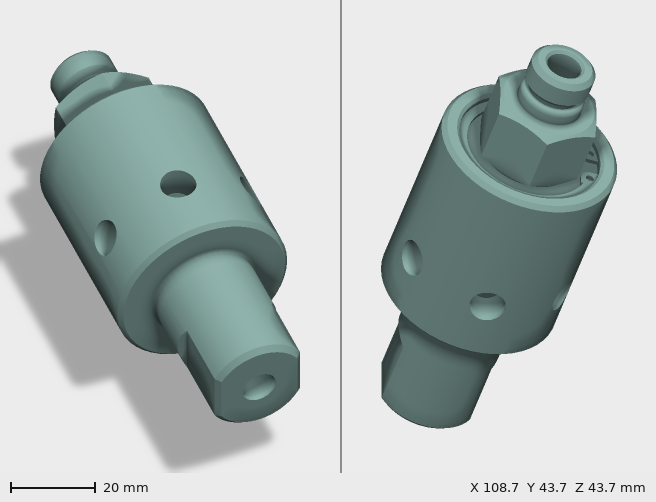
import cadquery as cq
import math

OVERALL_LENGTH = 108.7

HOUSING_START = 26.5
HOUSING_END = 75.3
HOUSING_DIAMETER = 43.7
HOUSING_CHAMFER = 1.1

SHAFT_DIAMETER = 25.4
SHAFT_CHAMFER = 1.3
SHAFT_FILLET = 0.9
FLAT_HALF_WIDTH = 11.0
FLAT_START = 90.9

HOLE_COUNT = 6
HOLE_DIAMETER = 8.6
HOLE_X = 59.8
FIRST_HOLE_ANGLE = 0.0

BORE_DIAMETER = 35.1
MOUTH_DIAMETER = 36.6
MOUTH_CHAMFER = (MOUTH_DIAMETER - BORE_DIAMETER) / 2

RING_FACE_DEPTH = 2.0
RING_THICKNESS = 1.0
RING_INNER_RADIUS = 15.2
LUG_RADIUS = 2.2
LUG_CENTRE_Y = 15.3
LUG_CENTRE_Z = 4.5
LUG_HOLE_DIAMETER = 2.0

THROUGH_BORE_DIAMETER = 8.5
THROUGH_BORE_CHAMFER = 0.7
NIPPLE_DIAMETER = 15.9
NIPPLE_CHAMFER = 1.2
NECK_DIAMETER = 12.8
NECK_TAPER_START = 6.0
NECK_END = 8.6
COLLAR_ROUND = 1.4
HEX_START = 12.5
NIPPLE_ROOT_FILLET = 0.3
HEX_END = 28.9
HEX_ACROSS_FLATS = 23.9
HEX_FACE_DIAMETER = 22.6
HEX_CHAMFER_ANGLE = 30.0
FLANGE_LENGTH = 8.7
JOURNAL_DIAMETER = 27.6
JOURNAL_END = 67.4

RING_FACE_X = HOUSING_START + RING_FACE_DEPTH
FLANGE_START = RING_FACE_X + RING_THICKNESS
FLANGE_END = FLANGE_START + FLANGE_LENGTH


def cylinder_x(diameter, start, end):
    """Solid cylinder along the X axis between two stations."""
    return cq.Workplane("YZ", origin=(start, 0, 0)).circle(diameter / 2).extrude(end - start)


def revolve_about_x(profile):
    """Turn a closed (x, radius) profile about the X axis."""
    return profile.close().revolve(360, (0, 0, 0), (1, 0, 0))


def through_bore():
    return cylinder_x(THROUGH_BORE_DIAMETER, 0, OVERALL_LENGTH)


def housing_blank():
    """Barrel and shaft, turned in one piece with a fillet in the corner between them."""
    barrel_radius = HOUSING_DIAMETER / 2
    shaft_radius = SHAFT_DIAMETER / 2
    fillet_middle = SHAFT_FILLET * (1 - math.sqrt(0.5))
    return revolve_about_x(
        cq.Workplane("XY")
        .moveTo(HOUSING_START, 0)
        .lineTo(HOUSING_START, barrel_radius - HOUSING_CHAMFER)
        .lineTo(HOUSING_START + HOUSING_CHAMFER, barrel_radius)
        .lineTo(HOUSING_END - HOUSING_CHAMFER, barrel_radius)
        .lineTo(HOUSING_END, barrel_radius - HOUSING_CHAMFER)
        .lineTo(HOUSING_END, shaft_radius + SHAFT_FILLET)
        .threePointArc(
            (HOUSING_END + fillet_middle, shaft_radius + fillet_middle),
            (HOUSING_END + SHAFT_FILLET, shaft_radius),
        )
        .lineTo(OVERALL_LENGTH, shaft_radius)
        .lineTo(OVERALL_LENGTH, 0)
    )


def rotor_cavity():
    """Chamfered mouth, flange bore and journal bore."""
    mouth_radius = MOUTH_DIAMETER / 2
    bore_radius = BORE_DIAMETER / 2
    journal_radius = JOURNAL_DIAMETER / 2
    return revolve_about_x(
        cq.Workplane("XY")
        .moveTo(HOUSING_START, 0)
        .lineTo(HOUSING_START, mouth_radius)
        .lineTo(HOUSING_START + MOUTH_CHAMFER, bore_radius)
        .lineTo(FLANGE_END, bore_radius)
        .lineTo(FLANGE_END, journal_radius)
        .lineTo(JOURNAL_END, journal_radius)
        .lineTo(JOURNAL_END, 0)
    )


def radial_holes():
    """Holes from the outside of the barrel into the journal bore."""
    holes = cq.Workplane("XY")
    for index in range(HOLE_COUNT):
        hole = (
            cq.Workplane("XY", origin=(HOLE_X, 0, 0))
            .circle(HOLE_DIAMETER / 2)
            .extrude(HOUSING_DIAMETER / 2)
            .rotate((0, 0, 0), (1, 0, 0), FIRST_HOLE_ANGLE + index * 360 / HOLE_COUNT)
        )
        holes = holes.add(hole)
    return holes.combine()


def wrench_flats():
    """Two parallel cuts on the shaft end, each running out at 45 degrees."""
    run_out = SHAFT_DIAMETER / 2 - FLAT_HALF_WIDTH
    cut = (
        cq.Workplane("XY")
        .moveTo(FLAT_START, FLAT_HALF_WIDTH)
        .lineTo(OVERALL_LENGTH, FLAT_HALF_WIDTH)
        .lineTo(OVERALL_LENGTH, FLAT_HALF_WIDTH + run_out)
        .lineTo(FLAT_START - run_out, FLAT_HALF_WIDTH + run_out)
        .close()
        .extrude(SHAFT_DIAMETER / 2, both=True)
    )
    return cut.union(cut.mirror("XZ"))


def retaining_ring():
    """Open ring with two drilled lugs either side of a gap on the -Y side."""
    plane = cq.Workplane("YZ", origin=(RING_FACE_X, 0, 0))
    bore = plane.circle(BORE_DIAMETER / 2).extrude(RING_THICKNESS)
    ring = bore.cut(plane.circle(RING_INNER_RADIUS).extrude(RING_THICKNESS))
    gap = (
        plane.center(-BORE_DIAMETER / 2, 0)
        .rect(BORE_DIAMETER / 2, 2 * LUG_CENTRE_Z)
        .extrude(RING_THICKNESS)
    )
    lug_centres = [(-LUG_CENTRE_Y, LUG_CENTRE_Z), (-LUG_CENTRE_Y, -LUG_CENTRE_Z)]
    lugs = plane.pushPoints(lug_centres).circle(LUG_RADIUS).extrude(RING_THICKNESS)
    tails = (
        plane.pushPoints([(y - LUG_RADIUS, z) for y, z in lug_centres])
        .rect(2 * LUG_RADIUS, 2 * LUG_RADIUS)
        .extrude(RING_THICKNESS)
    )
    blend_offset = LUG_RADIUS / 2
    blend_centres = [(y + blend_offset, z + math.copysign(blend_offset, z)) for y, z in lug_centres]
    blends = plane.pushPoints(blend_centres).rect(LUG_RADIUS, LUG_RADIUS).extrude(RING_THICKNESS)
    lug_holes = plane.pushPoints(lug_centres).circle(LUG_HOLE_DIAMETER / 2).extrude(RING_THICKNESS)
    return ring.cut(gap).union(lugs).union(tails).union(blends).intersect(bore).cut(lug_holes)


def make_housing():
    blank = housing_blank().cut(wrench_flats()).faces(">X").chamfer(SHAFT_CHAMFER)
    body = blank.cut(rotor_cavity()).cut(through_bore()).cut(radial_holes())
    return body.union(retaining_ring())


def bore_mouth():
    """Cone that chamfers the nipple end of the through bore."""
    bore_radius = THROUGH_BORE_DIAMETER / 2
    return revolve_about_x(
        cq.Workplane("XY")
        .lineTo(0, bore_radius + THROUGH_BORE_CHAMFER)
        .lineTo(THROUGH_BORE_CHAMFER, bore_radius)
        .lineTo(THROUGH_BORE_CHAMFER, 0)
    )


def nipple():
    """Chamfered nipple with a tapered neck and a rounded collar against the hexagon."""
    radius = NIPPLE_DIAMETER / 2
    neck_radius = NECK_DIAMETER / 2
    round_middle = COLLAR_ROUND * (1 - math.sqrt(0.5))
    root_middle = NIPPLE_ROOT_FILLET * (1 - math.sqrt(0.5))
    return revolve_about_x(
        cq.Workplane("XY")
        .moveTo(0, 0)
        .lineTo(0, radius - NIPPLE_CHAMFER)
        .lineTo(NIPPLE_CHAMFER, radius)
        .lineTo(NECK_TAPER_START, radius)
        .lineTo(NECK_TAPER_START + radius - neck_radius, neck_radius)
        .lineTo(NECK_END, neck_radius)
        .lineTo(NECK_END, radius - COLLAR_ROUND)
        .threePointArc(
            (NECK_END + round_middle, radius - round_middle),
            (NECK_END + COLLAR_ROUND, radius),
        )
        .lineTo(HEX_START - NIPPLE_ROOT_FILLET, radius)
        .threePointArc(
            (HEX_START - root_middle, radius + root_middle),
            (HEX_START, radius + NIPPLE_ROOT_FILLET),
        )
        .lineTo(HEX_START, 0)
    )


def hexagon():
    """Hexagon with corners up and down, both ends turned back by a cone."""
    corner_diameter = HEX_ACROSS_FLATS / math.cos(math.radians(30))
    face_radius = HEX_FACE_DIAMETER / 2
    corner_radius = corner_diameter / 2
    cone_length = (corner_radius - face_radius) * math.tan(math.radians(HEX_CHAMFER_ANGLE))
    prism = (
        cq.Workplane("YZ", origin=(HEX_START, 0, 0))
        .polygon(6, corner_diameter)
        .extrude(HEX_END - HEX_START)
        .rotate((0, 0, 0), (1, 0, 0), 30)
    )
    turned = revolve_about_x(
        cq.Workplane("XY")
        .moveTo(HEX_START, 0)
        .lineTo(HEX_START, face_radius)
        .lineTo(HEX_START + cone_length, corner_radius)
        .lineTo(HEX_END - cone_length, corner_radius)
        .lineTo(HEX_END, face_radius)
        .lineTo(HEX_END, 0)
    )
    return prism.intersect(turned)


def make_rotor():
    neck = cylinder_x(HEX_FACE_DIAMETER, HEX_END, FLANGE_START)
    flange = cylinder_x(BORE_DIAMETER, FLANGE_START, FLANGE_END)
    journal = cylinder_x(JOURNAL_DIAMETER, FLANGE_END, JOURNAL_END)
    body = nipple().union(hexagon()).union(neck).union(flange).union(journal)
    return body.cut(through_bore()).cut(bore_mouth())


housing = make_housing()
rotor = make_rotor()

result = cq.Compound.makeCompound([housing.val(), rotor.val()])